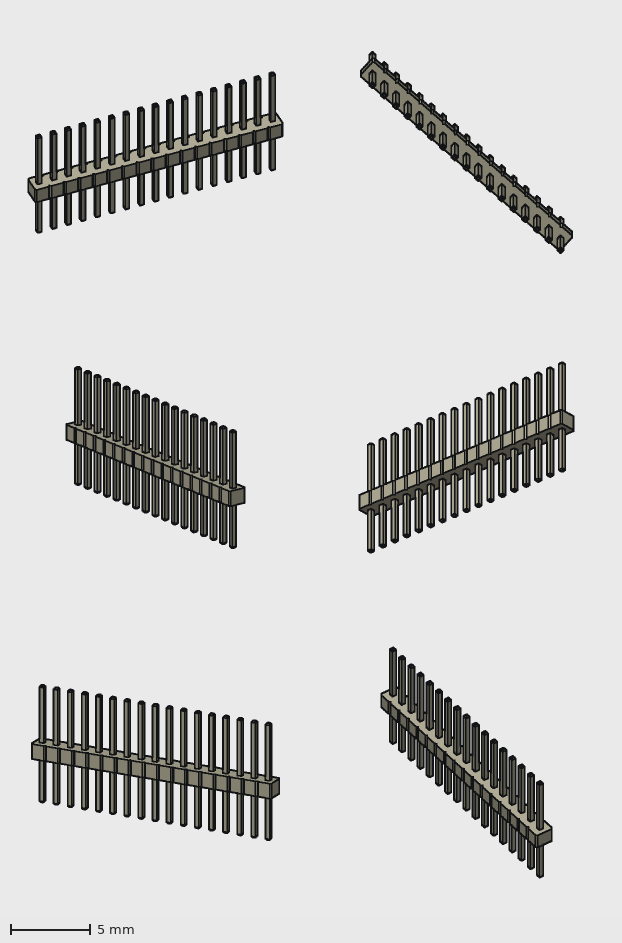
import cadquery as cq

pin_count = 17
pitch = 1.0
body_width = 1.27
body_height = 1.0
notch_chamfer = 0.1
pin_side = 0.3
pin_length_above = 3.8
pin_length_below = 3.0
tip_height = 0.1
tip_inset = pin_side / 4

pin_length = pin_length_below + body_height + pin_length_above
tip_side = pin_side - 2 * tip_inset
positions = [(i - (pin_count - 1) / 2) * pitch for i in range(pin_count)]


def body_segment(y):
    """One housing segment standing on Z = 0, with its vertical edges chamfered."""
    return (
        cq.Workplane("XY")
        .box(body_width, pitch, body_height, centered=(True, True, False))
        .edges("|Z")
        .chamfer(notch_chamfer)
        .translate((0, y, 0))
    )


def pin_tip(z_base, direction):
    """Tapered pin end starting at z_base; direction is 1 for up and -1 for down."""
    return (
        cq.Workplane("XY", origin=(0, 0, z_base))
        .rect(pin_side, pin_side)
        .workplane(offset=direction * tip_height)
        .rect(tip_side, tip_side)
        .loft(combine=True)
    )


def pin(y):
    """Square pin passing through the body, tapered at both ends."""
    shank_bottom = tip_height - pin_length_below
    shank_length = pin_length - 2 * tip_height
    shank = (
        cq.Workplane("XY", origin=(0, 0, shank_bottom))
        .rect(pin_side, pin_side)
        .extrude(shank_length)
    )
    lower_tip = pin_tip(shank_bottom, -1)
    upper_tip = pin_tip(shank_bottom + shank_length, 1)
    return shank.union(lower_tip).union(upper_tip).translate((0, y, 0))


result = cq.Workplane("XY")
for y_position in positions:
    result = result.union(body_segment(y_position))

result = result.clean()
for y_position in positions:
    result = result.union(pin(y_position))